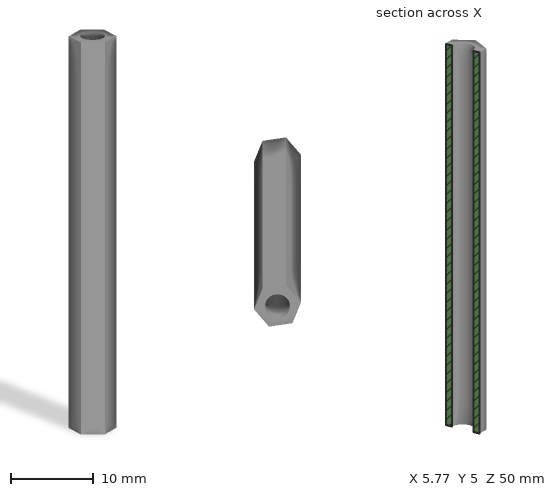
import cadquery as cq
import math

length = 50.0
side_count = 6
across_flats = 5.0
bore_diameter = 3.0

across_corners = across_flats / math.cos(math.pi / side_count)


def hex_body():
    return cq.Workplane("XY").polygon(side_count, across_corners).extrude(length)


def bore():
    return cq.Workplane("XY").circle(bore_diameter / 2).extrude(length)


result = hex_body().cut(bore())